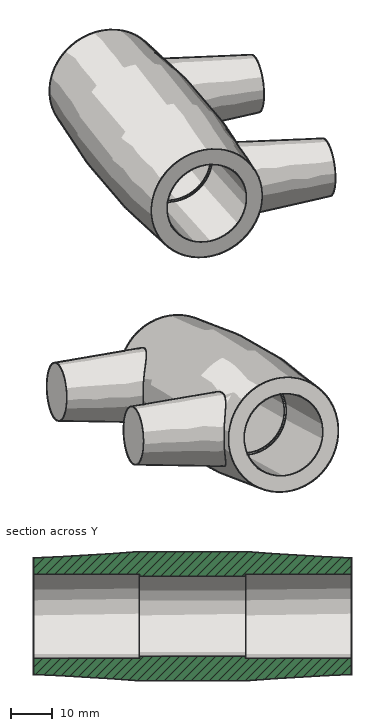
import cadquery as cq
import math

length = 76.0
middle_length = 25.3
middle_diameter = 31.0
end_diameter = 28.0

socket_diameter = 20.0
stop_diameter = 19.0

total_width = 49.5
branch_spacing = 53.2
branch_tip_diameter = 14.0
branch_taper_angle = 5.0

half_length = length / 2
half_middle = middle_length / 2
socket_depth = half_length - half_middle
branch_tip_y = total_width - middle_diameter / 2


def tube_body():
    """Cylindrical middle section with a straight cone towards each end."""
    end_radius = end_diameter / 2
    middle_radius = middle_diameter / 2
    return (
        cq.Workplane("XY")
        .moveTo(-half_length, 0)
        .lineTo(-half_length, end_radius)
        .lineTo(-half_middle, middle_radius)
        .lineTo(half_middle, middle_radius)
        .lineTo(half_length, end_radius)
        .lineTo(half_length, 0)
        .close()
        .revolve(360, (0, 0, 0), (1, 0, 0))
    )


def branch(center_x):
    """Cone from the tube axis to the branch tip, narrowing along +Y."""
    tip_radius = branch_tip_diameter / 2
    root_radius = tip_radius + branch_tip_y * math.tan(math.radians(branch_taper_angle))
    cone = cq.Solid.makeCone(
        root_radius,
        tip_radius,
        branch_tip_y,
        pnt=cq.Vector(center_x, 0, 0),
        dir=cq.Vector(0, 1, 0),
    )
    return cq.Workplane(obj=cone)


def bore_section(start_x, section_length, diameter):
    """Cylinder along X, used to hollow out the tube."""
    return (
        cq.Workplane("YZ", origin=(start_x, 0, 0))
        .circle(diameter / 2)
        .extrude(section_length)
    )


body = tube_body()
for side in (-1, 1):
    body = body.union(branch(side * branch_spacing / 2))

body = body.cut(bore_section(-half_length, length, stop_diameter))
for socket_start in (-half_length, half_middle):
    body = body.cut(bore_section(socket_start, socket_depth, socket_diameter))

result = body